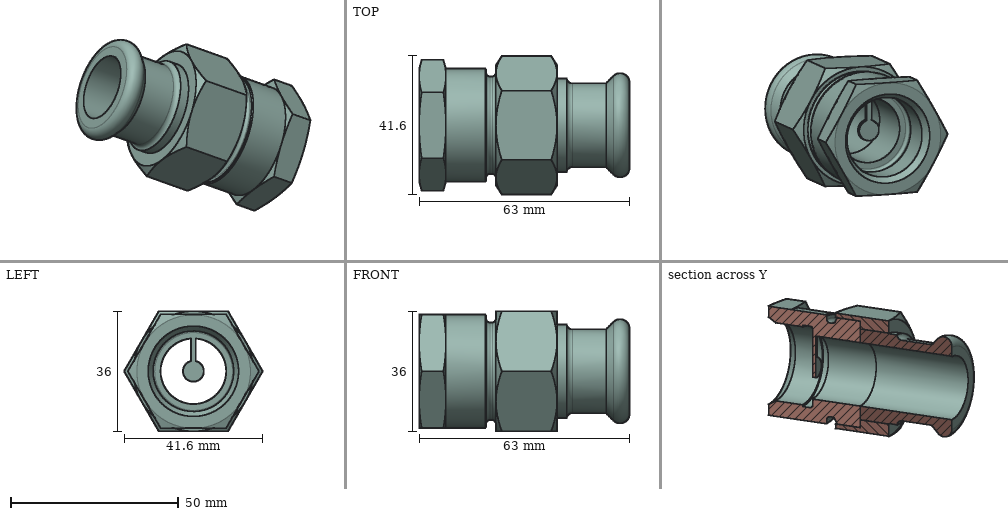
import cadquery as cq
import math

LENGTH = 63.0

END_FLATS = 34.0
END_HEX_LENGTH = 8.0
END_CHAMFER_ANGLE = 16.0
BARREL_END = 20.1
BARREL_CHAMFER = 0.4
NECK_DIAMETER = 29.3
NECK_START = 21.1
NECK_END = 21.85
NECK_FILLET = 1.0
FLANGE_DIAMETER = 33.25
FLANGE_SLOPE = 60.0

MOUTH_DIAMETER = 27.1
MOUTH_DEPTH = 2.5
THREAD_DIAMETER = 24.1
THREAD_END = 11.8
LEDGE_X = 15.1
RELIEF_DIAMETER = 25.2
RELIEF_FILLET = 0.95
BORE_DIAMETER = 19.6

NUT_FLATS = 36.0
NUT_START = 23.0
NUT_END = 41.25
NUT_CHAMFER_ANGLE = 32.0

COLLAR_DIAMETER = 28.1
COLLAR_END = 44.15
TUBE_DIAMETER = 25.2
TUBE_START = 45.85
BEAD_TUBE_RADIUS = 2.85
BEAD_CENTRE_RADIUS = 12.8
JOINT_X = 31.5

DISC_DIAMETER = 6.3
SPOKE_WIDTH = 1.5
DISC_THICKNESS = 1.25
SPOKE_TOP = 10.4


def revolve(profile):
    """Turn a closed XY profile (axial station, radius) about the X axis."""
    return profile.close().revolve(360, (0, 0, 0), (1, 0, 0))


def cylinder(start, end, diameter):
    return cq.Workplane("YZ", origin=(start, 0, 0)).circle(diameter / 2).extrude(end - start)


def chamfered_hexagon(start, end, flats, angle):
    """Hexagonal prism with flats at +Z and -Z and conically turned corners."""
    corner_diameter = flats / math.cos(math.pi / 6)
    prism = cq.Workplane("YZ", origin=(start, 0, 0)).polygon(6, corner_diameter).extrude(end - start)
    face_radius = flats / 2
    corner_radius = corner_diameter / 2
    drop = (corner_radius - face_radius) * math.tan(math.radians(angle))
    turned_envelope = revolve(
        cq.Workplane("XY")
        .moveTo(start, 0)
        .lineTo(start, face_radius)
        .lineTo(start + drop, corner_radius)
        .lineTo(end - drop, corner_radius)
        .lineTo(end, face_radius)
        .lineTo(end, 0)
    )
    return prism.intersect(turned_envelope)


def end_barrel():
    """Barrel, filleted neck and the flange that the nut pulls on."""
    barrel_radius = END_FLATS / 2
    neck_radius = NECK_DIAMETER / 2
    reach = NECK_FILLET * math.sqrt(0.5)

    def fillet_point(angle):
        return (
            NECK_END + NECK_FILLET * math.sin(angle),
            neck_radius + NECK_FILLET * (1 - math.cos(angle)),
        )

    slope = math.radians(FLANGE_SLOPE)
    slope_start_x, slope_start_radius = fillet_point(slope)
    slope_end_x = slope_start_x + (FLANGE_DIAMETER / 2 - slope_start_radius) / math.tan(slope)
    return revolve(
        cq.Workplane("XY")
        .moveTo(0, 0)
        .lineTo(0, barrel_radius)
        .lineTo(BARREL_END - BARREL_CHAMFER, barrel_radius)
        .lineTo(BARREL_END, barrel_radius - BARREL_CHAMFER)
        .lineTo(NECK_START - NECK_FILLET, neck_radius + NECK_FILLET)
        .threePointArc(
            (NECK_START - reach, neck_radius + NECK_FILLET - reach),
            (NECK_START, neck_radius),
        )
        .lineTo(NECK_END, neck_radius)
        .threePointArc(fillet_point(slope / 2), (slope_start_x, slope_start_radius))
        .lineTo(slope_end_x, FLANGE_DIAMETER / 2)
        .lineTo(JOINT_X, FLANGE_DIAMETER / 2)
        .lineTo(JOINT_X, 0)
    )


def end_bore():
    """Countersunk threaded bore, rounded relief groove, ledge and through bore."""
    relief_radius = RELIEF_DIAMETER / 2
    reach = RELIEF_FILLET * math.sqrt(0.5)
    mouth = revolve(
        cq.Workplane("XY")
        .moveTo(0, 0)
        .lineTo(0, MOUTH_DIAMETER / 2)
        .lineTo(MOUTH_DEPTH, THREAD_DIAMETER / 2)
        .lineTo(THREAD_END, THREAD_DIAMETER / 2)
        .lineTo(THREAD_END, relief_radius)
        .lineTo(LEDGE_X - RELIEF_FILLET, relief_radius)
        .threePointArc(
            (LEDGE_X - RELIEF_FILLET + reach, relief_radius - RELIEF_FILLET + reach),
            (LEDGE_X, relief_radius - RELIEF_FILLET),
        )
        .lineTo(LEDGE_X, 0)
    )
    return mouth.union(cylinder(LEDGE_X, JOINT_X, BORE_DIAMETER))


def make_end_piece():
    hexagon = chamfered_hexagon(0, END_HEX_LENGTH, END_FLATS, END_CHAMFER_ANGLE)
    spoke = (
        cq.Workplane("XY")
        .box(DISC_THICKNESS, SPOKE_WIDTH, SPOKE_TOP, centered=(False, True, False))
        .translate((LEDGE_X, 0, 0))
    )
    disc = cylinder(LEDGE_X, LEDGE_X + DISC_THICKNESS, DISC_DIAMETER)
    return hexagon.union(end_barrel()).cut(end_bore()).union(spoke).union(disc)


def make_nut():
    hexagon = chamfered_hexagon(NUT_START, NUT_END, NUT_FLATS, NUT_CHAMFER_ANGLE)
    flange_seat = cylinder(NUT_START, JOINT_X, FLANGE_DIAMETER)
    collar_hole = cylinder(JOINT_X, NUT_END, COLLAR_DIAMETER)
    return hexagon.cut(flange_seat).cut(collar_hole)


def make_tail():
    """Collar, tube and the rounded bead at the press end."""
    collar_radius = COLLAR_DIAMETER / 2
    tube_radius = TUBE_DIAMETER / 2
    bead_x = LENGTH - BEAD_TUBE_RADIUS
    slant = BEAD_TUBE_RADIUS * math.sqrt(0.5)
    flare_end = (bead_x - slant, BEAD_CENTRE_RADIUS + slant)
    flare_start = flare_end[0] - (flare_end[1] - tube_radius)
    drop = collar_radius - tube_radius
    return revolve(
        cq.Workplane("XY")
        .moveTo(JOINT_X, BORE_DIAMETER / 2)
        .lineTo(JOINT_X, collar_radius)
        .lineTo(COLLAR_END, collar_radius)
        .threePointArc(
            (TUBE_START - (TUBE_START - COLLAR_END) * math.sqrt(0.5), collar_radius - drop * math.sqrt(0.5)),
            (TUBE_START, tube_radius),
        )
        .lineTo(flare_start, tube_radius)
        .lineTo(*flare_end)
        .threePointArc((bead_x, BEAD_CENTRE_RADIUS + BEAD_TUBE_RADIUS), (LENGTH, BEAD_CENTRE_RADIUS))
        .lineTo(LENGTH, BORE_DIAMETER / 2)
    )


end_piece = make_end_piece()
nut = make_nut()
tail = make_tail()

result = cq.Compound.makeCompound([end_piece.val(), nut.val(), tail.val()])